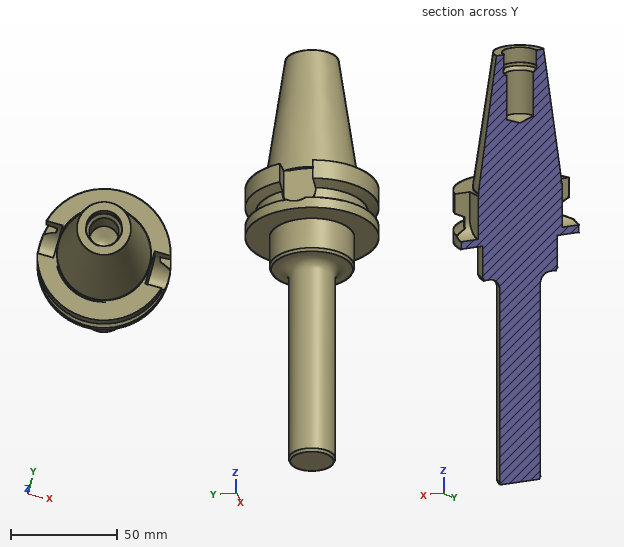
import cadquery as cq
import math


TAPER_LENGTH = 65.4
TAPER_RATIO = 7 / 24
GAUGE_DIAMETER = 44.45
NECK_DIAMETER = 44.0
NECK_LENGTH = 2.0
GAUGE_LAND = 0.9
NECK_FILLET = 0.8

FLANGE_DIAMETER = 63.0
FLANGE_BOTTOM_Z = -27.0
GROOVE_CENTRE_Z = -16.6
GROOVE_DIAMETER = 53.0
GROOVE_MOUTH_WIDTH = 10.0
GROOVE_FLANK_ANGLE = 26.0

BODY_DIAMETER = 40.0
BODY_BOTTOM_Z = -44.0
SHANK_DIAMETER = 22.0
SHANK_BOTTOM_Z = -145.0
END_CHAMFER_LENGTH = 1.5
END_CHAMFER_INSET = 0.75
SHANK_FILLET = 5.0

SLOT_WIDTH = 16.1
SLOT_FLOOR_X = 22.5
SLOT_BOTTOM_Z = -23.1
SLOT_CORNER_RADIUS = 8.0

BORE_DIAMETER = 17.01
RELIEF_DIAMETER = 17.41
BORE_DEPTH = 9.0
RELIEF_LENGTH = 1.6
THREAD_HOLE_DIAMETER = 14.0
THREAD_HOLE_DEPTH = 32.0
SEAT_ANGLE = 45.0
DRILL_POINT_ANGLE = 140.0


def outer_body():
    """Revolved outline: taper, neck, grooved flange, body and shank."""
    taper_top_radius = (GAUGE_DIAMETER - TAPER_LENGTH * TAPER_RATIO) / 2
    gauge_radius = GAUGE_DIAMETER / 2
    neck_radius = NECK_DIAMETER / 2
    flange_radius = FLANGE_DIAMETER / 2
    groove_radius = GROOVE_DIAMETER / 2
    body_radius = BODY_DIAMETER / 2
    shank_radius = SHANK_DIAMETER / 2

    mouth_half = GROOVE_MOUTH_WIDTH / 2
    flank_height = (flange_radius - groove_radius) * math.tan(math.radians(GROOVE_FLANK_ANGLE))
    floor_half = mouth_half - flank_height

    midpoint_ratio = 1 - math.sqrt(0.5)
    neck_fillet_offset = NECK_FILLET * midpoint_ratio
    shank_fillet_offset = SHANK_FILLET * midpoint_ratio

    outline = (
        cq.Workplane("XZ")
        .moveTo(0, TAPER_LENGTH)
        .lineTo(taper_top_radius, TAPER_LENGTH)
        .lineTo(gauge_radius, 0)
        .lineTo(gauge_radius, -GAUGE_LAND)
        .lineTo(neck_radius, -GAUGE_LAND)
        .lineTo(neck_radius, NECK_FILLET - NECK_LENGTH)
        .threePointArc(
            (neck_radius + neck_fillet_offset, neck_fillet_offset - NECK_LENGTH),
            (neck_radius + NECK_FILLET, -NECK_LENGTH),
        )
        .lineTo(flange_radius, -NECK_LENGTH)
        .lineTo(flange_radius, GROOVE_CENTRE_Z + mouth_half)
        .lineTo(groove_radius, GROOVE_CENTRE_Z + floor_half)
        .lineTo(groove_radius, GROOVE_CENTRE_Z - floor_half)
        .lineTo(flange_radius, GROOVE_CENTRE_Z - mouth_half)
        .lineTo(flange_radius, FLANGE_BOTTOM_Z)
        .lineTo(body_radius, FLANGE_BOTTOM_Z)
        .lineTo(body_radius, BODY_BOTTOM_Z + END_CHAMFER_LENGTH)
        .lineTo(body_radius - END_CHAMFER_INSET, BODY_BOTTOM_Z)
        .lineTo(shank_radius + SHANK_FILLET, BODY_BOTTOM_Z)
        .threePointArc(
            (shank_radius + shank_fillet_offset, BODY_BOTTOM_Z - shank_fillet_offset),
            (shank_radius, BODY_BOTTOM_Z - SHANK_FILLET),
        )
        .lineTo(shank_radius, SHANK_BOTTOM_Z + END_CHAMFER_LENGTH)
        .lineTo(shank_radius - END_CHAMFER_INSET, SHANK_BOTTOM_Z)
        .lineTo(0, SHANK_BOTTOM_Z)
        .close()
    )
    return outline.revolve(360, (0, 0, 0), (0, 1, 0))


def drawbar_bore():
    """Pilot bore, conical seat, thread hole and drill point in the taper end."""
    relief_radius = RELIEF_DIAMETER / 2
    bore_radius = BORE_DIAMETER / 2
    hole_radius = THREAD_HOLE_DIAMETER / 2

    seat_top_z = TAPER_LENGTH - BORE_DEPTH
    seat_bottom_z = seat_top_z - (relief_radius - hole_radius) * math.tan(math.radians(SEAT_ANGLE))
    hole_bottom_z = TAPER_LENGTH - THREAD_HOLE_DEPTH
    point_length = hole_radius / math.tan(math.radians(DRILL_POINT_ANGLE / 2))

    outline = (
        cq.Workplane("XZ")
        .moveTo(0, TAPER_LENGTH)
        .lineTo(bore_radius, TAPER_LENGTH)
        .lineTo(bore_radius, seat_top_z + RELIEF_LENGTH)
        .lineTo(relief_radius, seat_top_z + RELIEF_LENGTH)
        .lineTo(relief_radius, seat_top_z)
        .lineTo(hole_radius, seat_bottom_z)
        .lineTo(hole_radius, hole_bottom_z)
        .lineTo(0, hole_bottom_z - point_length)
        .close()
    )
    return outline.revolve(360, (0, 0, 0), (0, 1, 0))


def drive_slot(side):
    """Drive slot with rounded lower corners, on the +X (1) or -X (-1) side of the flange."""
    slot_depth = FLANGE_DIAMETER / 2 - SLOT_FLOOR_X
    slot_height = -SLOT_BOTTOM_Z
    return (
        cq.Workplane("XY")
        .box(slot_depth, SLOT_WIDTH, slot_height, centered=(True, True, False))
        .edges("|X and <Z")
        .fillet(SLOT_CORNER_RADIUS)
        .translate((side * (SLOT_FLOOR_X + slot_depth / 2), 0, SLOT_BOTTOM_Z))
    )


result = outer_body().cut(drawbar_bore())
for slot_side in (-1, 1):
    result = result.cut(drive_slot(slot_side))